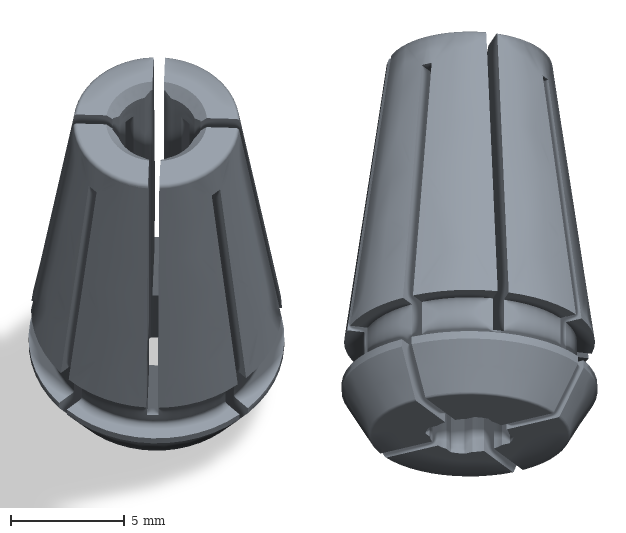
import cadquery as cq
import math

height = 18.0
flange_diameter = 11.3
flange_radius = flange_diameter / 2

taper_half_angle = 8.0
taper_bottom_z = 4.54
taper_bottom_radius = 5.55
top_edge_fillet = 0.18

neck_radius = 4.75
neck_root_fillet = 0.1

flange_top_z = 2.48
flange_bottom_z = 2.12
base_cone_radius = 4.41
base_edge_fillet = 0.15

bore_radius = 1.76
square_side = 3.19
square_corner_radius = 1.96
countersink_radius = 2.23

slot_width = 0.5
slot_turn = 45.0
bottom_slot_top_z = 16.5
top_slot_floor_z = 3.0
slot_length = 2 * flange_diameter


def collet_body():
    taper_height = height - taper_bottom_z
    top_radius = taper_bottom_radius - taper_height * math.tan(math.radians(taper_half_angle))
    profile = (
        cq.Workplane("XZ")
        .lineTo(base_cone_radius, 0)
        .lineTo(flange_radius, flange_bottom_z)
        .lineTo(flange_radius, flange_top_z)
        .lineTo(neck_radius + neck_root_fillet, flange_top_z)
        .radiusArc((neck_radius, flange_top_z + neck_root_fillet), neck_root_fillet)
        .lineTo(neck_radius, taper_bottom_z)
        .lineTo(taper_bottom_radius, taper_bottom_z)
        .lineTo(top_radius, height)
        .lineTo(0, height)
        .close()
    )
    body = profile.revolve(360, (0, 0), (0, 1))
    body = body.faces(">Z").edges().fillet(top_edge_fillet)
    body = body.faces("<Z").edges().fillet(base_edge_fillet)
    return body


def bore():
    round_hole = cq.Workplane("XY").circle(bore_radius).extrude(height)
    corner_limit = cq.Workplane("XY").circle(square_corner_radius).extrude(height)
    square_hole = cq.Workplane("XY").rect(square_side, square_side).extrude(height)
    return round_hole.union(square_hole.intersect(corner_limit))


def countersink():
    cone = cq.Solid.makeCone(0, countersink_radius, countersink_radius)
    return cq.Workplane(cone.translate(cq.Vector(0, 0, height - countersink_radius)))


def slot_cross(bottom_z, top_z, turn):
    slot_height = top_z - bottom_z
    base = cq.Workplane("XY").workplane(offset=bottom_z)
    slot = base.rect(slot_length, slot_width).extrude(slot_height)
    cross = slot.union(base.rect(slot_width, slot_length).extrude(slot_height))
    return cross.rotate((0, 0, 0), (0, 0, 1), turn)


result = (
    collet_body()
    .cut(bore())
    .cut(countersink())
    .cut(slot_cross(0, bottom_slot_top_z, 0))
    .cut(slot_cross(top_slot_floor_z, height, slot_turn))
)